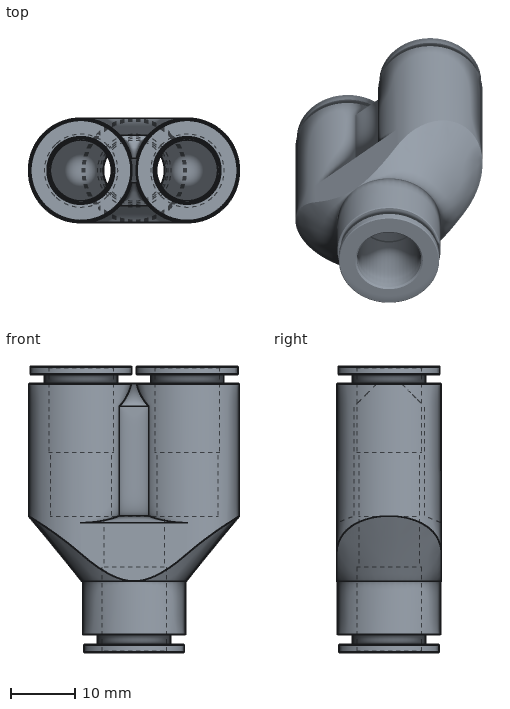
import cadquery as cq

length_x = 32.75
height = 44.5

tube_diameter = 16.25
stem_diameter = 16.0
tube_radius = tube_diameter / 2
tube_offset = (length_x - tube_diameter) / 2
stem_bottom = 2.75
stem_top = 11.12
cone_top = 21.23
tube_top = 41.85
edge_chamfer = 0.15

web_half_thickness = 5.47
web_tip_half_thickness = 1.9
flat_top = 20.2
web_bottom = 21.25
web_shoulder = 38.25

collar_thickness = 1.3
upper_collar_diameter = 15.85
lower_collar_diameter = 15.6
neck_diameter = 11.4
bore_diameter = 9.5
mouth_diameter = 10.5
socket_diameter = 10.0
mouth_depth = 0.25
socket_depth = 13.35
bore_meeting_height = cone_top


def cylinder(diameter, bottom, top, x=0):
    """Vertical cylinder between two heights."""
    return cq.Workplane("XY", origin=(x, 0, bottom)).circle(diameter / 2).extrude(top - bottom)


def web():
    """Symmetric YZ profile filling the gap between the tubes, flush with them at the base."""
    half_profile = [
        (tube_radius, stem_top),
        (tube_radius, flat_top),
        (web_half_thickness, web_bottom),
        (web_half_thickness, web_shoulder),
        (web_tip_half_thickness, tube_top),
    ]
    mirrored = [(-y, z) for y, z in reversed(half_profile)]
    return cq.Workplane("YZ").polyline(half_profile + mirrored).close().extrude(tube_offset, both=True)


def taper_envelope():
    """Cone that trims the bottom of the tubes, continued as a cylinder above it."""
    outer_radius = length_x / 2
    profile = [
        (0, stem_top),
        (tube_radius, stem_top),
        (outer_radius, cone_top),
        (outer_radius, tube_top),
        (0, tube_top),
    ]
    return cq.Workplane("XZ").polyline(profile).close().revolve(360, (0, 0), (0, 1))


def collar(diameter, bottom, x=0):
    """Flanged ring with broken outer edges."""
    ring = cylinder(diameter, bottom, bottom + collar_thickness, x)
    return ring.faces("<Z or >Z").chamfer(edge_chamfer)


def bore_cutter(mouth, floor, x=0):
    """Blind bore from mouth to floor, widened into a tube socket and chamfered at the mouth."""
    inward = 1 if floor > mouth else -1
    entry = cq.Workplane("XY", origin=(x, 0, mouth))
    bore = entry.circle(bore_diameter / 2).extrude(floor - mouth)
    socket = entry.circle(socket_diameter / 2).extrude(inward * socket_depth)
    lead_in = cq.Solid.makeCone(
        mouth_diameter / 2,
        socket_diameter / 2,
        mouth_depth,
        pnt=cq.Vector(x, 0, mouth),
        dir=cq.Vector(0, 0, inward),
    )
    return bore.union(socket).union(cq.Workplane(lead_in))


body = web()
for x in (-tube_offset, tube_offset):
    body = body.union(cylinder(tube_diameter, stem_top, tube_top, x).faces(">Z").chamfer(edge_chamfer))
body = body.intersect(taper_envelope())

stem = cylinder(stem_diameter, stem_bottom, stem_top).faces("<Z").chamfer(edge_chamfer)
result = body.union(stem)
result = result.union(cylinder(neck_diameter, 0, stem_bottom))
result = result.union(collar(lower_collar_diameter, 0))

for x in (-tube_offset, tube_offset):
    result = result.union(cylinder(neck_diameter, tube_top, height, x))
    result = result.union(collar(upper_collar_diameter, height - collar_thickness, x))

result = result.cut(bore_cutter(0, bore_meeting_height))
for x in (-tube_offset, tube_offset):
    result = result.cut(bore_cutter(height, bore_meeting_height, x))